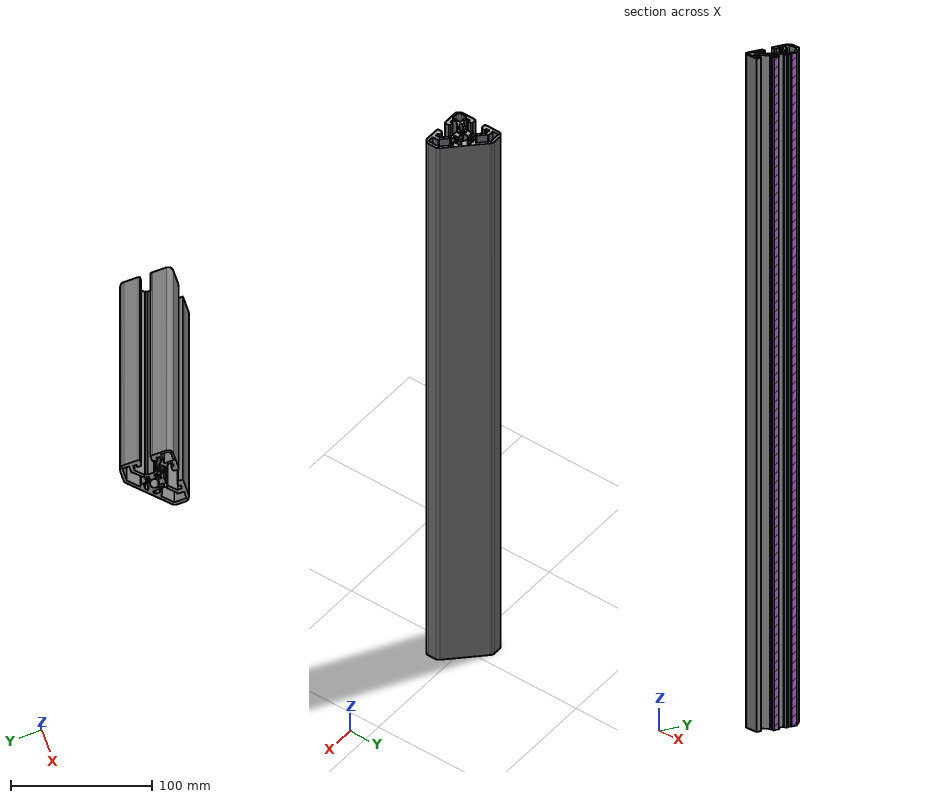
import cadquery as cq
import math

length = 500.0
half_width = 20.0

corner_radius = 4.0
bevel_offset = 12.0
bevel_end = half_width - bevel_offset

slot_half_opening = 4.0
slot_half_width = 10.0
lip_depth = 4.75
lip_base = 3.0
lip_width = 3.5
lip_chamfer = 1.0
lip_slope_width = 1.5
lip_slope_depth = 0.3
floor_offset = 8.25
floor_half_width = 4.5
groove_half_width = 3.5
groove_half_bottom = 2.25
groove_depth = 0.5

corner_wall = 1.5
side_wall = 2.25
cell_floor_wall = 2.75
bevel_wall = 2.0
web = 2.0
web_gap_width = 2.5
web_gap_end = 5.0

core_half = 5.0
rib = 1.0
rib_offset = 2.75
rib_flare = 1.5
core_cell_top = 7.5
key_half = 1.5
bore_radius = 3.25
relief_center = 2.9
relief_width = 1.75
relief_start = 2.0
relief_end = 6.0

slot_line = floor_offset - floor_half_width
web_line = slot_line - web * math.sqrt(2)
bevel_inner = bevel_offset - bevel_wall * math.sqrt(2)


def prism(points):
    return cq.Workplane("XY").polyline(points).close().extrude(length)


def both_sides(shape):
    """Add the mirror image about the plane x = y."""
    return shape.union(shape.rotate((0, 0, 0), (0, 0, 1), 90).mirror("YZ"))


def outer_body():
    side = half_width
    body = prism([(-side, -side), (side, -side), (side, -bevel_end), (-bevel_end, side), (-side, side)])
    return body.edges("|Z").fillet(corner_radius)


def slots():
    lip_end = slot_half_opening + lip_width
    lip_face = -half_width + lip_depth
    base_face = -half_width + lip_base
    half = [
        (slot_half_opening + lip_slope_width, -half_width),
        (slot_half_opening, -half_width + lip_slope_depth),
        (slot_half_opening, lip_face - lip_chamfer),
        (slot_half_opening + lip_chamfer, lip_face),
        (lip_end, lip_face),
        (lip_end, base_face),
        (slot_half_width, base_face),
        (slot_half_width, -slot_half_width - slot_line),
        (floor_half_width, -floor_offset),
        (groove_half_width, -floor_offset),
        (groove_half_bottom, -floor_offset + groove_depth),
    ]
    return both_sides(prism(half + [(-x, y) for x, y in reversed(half)]))


def corner_cell():
    outer = half_width - corner_wall
    near = slot_half_width + corner_wall
    cell = prism([(-outer, -outer), (-near, -outer), (-near, -near), (-outer, -near)])
    return cell.faces("<X").edges("<Y").fillet(corner_radius - corner_wall)


def web_gap():
    start = -slot_half_width
    shift = web_gap_width / math.sqrt(8)
    return prism([
        (start - shift, start + shift),
        (start + shift, start - shift),
        (-web_gap_end + shift, -web_gap_end - shift),
        (-web_gap_end - shift, -web_gap_end + shift),
    ])


def bevel_cells():
    outer = half_width - side_wall
    near = slot_half_width + cell_floor_wall
    foot = floor_offset - rib
    flare_tip = rib_flare - rib_offset
    return both_sides(prism([
        (-outer, outer),
        (-outer, near),
        (-near, near),
        (-near, near - web_line),
        (-foot, foot - web_line),
        (-foot, core_half),
        (-rib_offset, core_half),
        (-rib_offset, bevel_inner - flare_tip - rib_flare),
        (flare_tip, bevel_inner - flare_tip),
        (bevel_inner - outer, outer),
    ]))


def core_cells():
    left = rib - rib_offset
    key_middle = bevel_inner / 2
    return both_sides(prism([
        (left, core_half),
        (core_half - 2 * key_half, core_half),
        (key_middle - key_half, key_middle + key_half),
        (bevel_inner - core_cell_top, core_cell_top),
        (left, core_cell_top),
    ]))


def bore():
    middle = -(relief_start + relief_end) / 2
    slits = (
        cq.Workplane("XY")
        .pushPoints([(-relief_center, middle), (relief_center, middle)])
        .rect(relief_width, relief_end - relief_start)
        .extrude(length)
    )
    return both_sides(slits).union(cq.Workplane("XY").circle(bore_radius).extrude(length))


result = outer_body()
for cavity in (slots(), corner_cell(), web_gap(), bevel_cells(), core_cells(), bore()):
    result = result.cut(cavity)